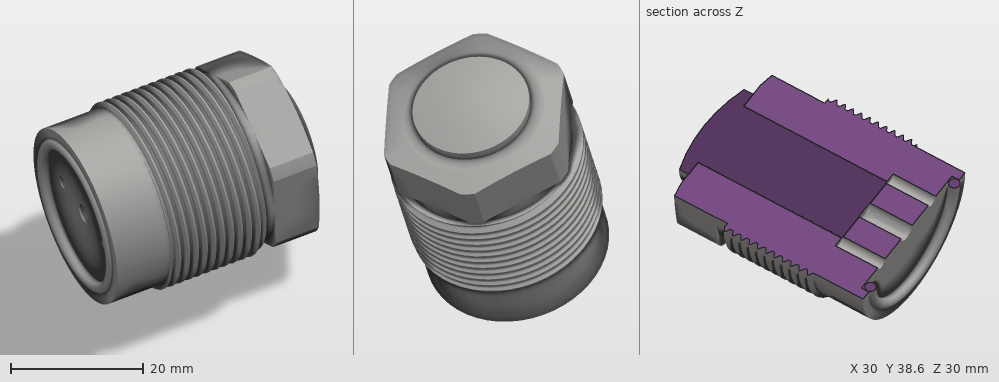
import cadquery as cq
import math


thread_start = 9.0
thread_end = 25.0
hex_start = 27.0
hex_end = 35.0
neck_radius = 13.5

thread_radius = 15.0
pitch = 1.5
triangle_height = pitch * math.sqrt(3) / 2
thread_depth = 5 / 8 * triangle_height
body_radius = thread_radius - thread_depth
crest_width = pitch / 8
root_embed = 0.1
crest_offset = 1.24

hex_width = 27.0
hex_corner_radius = 15.0
hex_turn = 3.5
hex_cone_angle = 10.0
hex_face_radius = 11.0

ring_radius = 11.6
ring_section = 1.8
ring_protrusion = 0.57
ring_center_depth = ring_section / 2 - ring_protrusion
recess_radius = ring_radius + ring_section / 2
recess_depth = 1.33

shank_radius = 6.25
shank_start = thread_start
head_radius = 9.0
dome_top = 38.0
dome_radius = 30.0

center_hole_diameter = 3.0
side_hole_diameter = 2.0
side_hole_offset = 7.0


def rod(radius, start, end):
    """Cylinder on the Y axis between two stations."""
    return cq.Workplane("XZ", origin=(0, start, 0)).circle(radius).extrude(start - end)


def make_thread_ridge():
    """Helical ridge, cut flat at both ends of the threaded length."""
    first_crest = thread_end - crest_offset
    turns_below = math.ceil((first_crest - thread_start) / pitch) + 1
    helix_start = first_crest - turns_below * pitch
    helix_height = (turns_below + 2) * pitch

    inner_radius = body_radius - root_embed
    half_crest = crest_width / 2
    half_base = half_crest + (thread_radius - inner_radius) * math.tan(math.radians(30))
    helix = cq.Wire.makeHelix(pitch, helix_height, body_radius)
    ridge = (
        cq.Workplane("XZ")
        .polyline([
            (inner_radius, -half_base),
            (thread_radius, -half_crest),
            (thread_radius, half_crest),
            (inner_radius, half_base),
        ])
        .close()
        .sweep(cq.Workplane(helix), isFrenet=True)
        .translate((0, 0, helix_start))
        .rotate((0, 0, 0), (1, 0, 0), -90)
    )
    return ridge.intersect(rod(thread_radius + pitch, thread_start, thread_end))


def make_hexagon():
    """Turned hexagon, its corners rounded and its outer end coned."""
    across_corners = hex_width / math.cos(math.radians(30))
    prism = (
        cq.Workplane("XZ", origin=(0, hex_start, 0))
        .transformed(rotate=(0, 0, hex_turn + 30))
        .polygon(6, across_corners)
        .extrude(hex_start - hex_end)
    )
    cone_height = (hex_corner_radius - hex_face_radius) * math.tan(math.radians(hex_cone_angle))
    blank = (
        cq.Workplane("XY")
        .polyline([
            (0, hex_start),
            (hex_corner_radius, hex_start),
            (hex_corner_radius, hex_end - cone_height),
            (hex_face_radius, hex_end),
            (0, hex_end),
        ])
        .close()
        .revolve(360, (0, 0), (0, 1))
    )
    return prism.intersect(blank)


def make_housing():
    housing = rod(body_radius, 0, thread_end).union(make_thread_ridge())
    housing = housing.union(rod(neck_radius, thread_end, hex_start)).union(make_hexagon())

    recess = rod(recess_radius, 0, recess_depth)
    center_hole = rod(center_hole_diameter / 2, 0, shank_start)
    plunger_bore = rod(shank_radius, shank_start, hex_end)
    housing = housing.cut(recess).cut(center_hole).cut(plunger_bore)

    for side in (-1, 1):
        side_hole = rod(side_hole_diameter / 2, 0, shank_start)
        housing = housing.cut(side_hole.translate((side * side_hole_offset, 0, 0)))
    return housing


def make_o_ring():
    return (
        cq.Workplane("XY")
        .center(ring_radius, ring_center_depth)
        .circle(ring_section / 2)
        .revolve(360, (-ring_radius, 0), (-ring_radius, 1))
    )


def make_plunger():
    dome_center = dome_top - dome_radius
    dome_edge = dome_center + math.sqrt(dome_radius**2 - head_radius**2)
    half_radius = head_radius / 2
    dome_middle = dome_center + math.sqrt(dome_radius**2 - half_radius**2)
    return (
        cq.Workplane("XY")
        .moveTo(0, shank_start)
        .lineTo(shank_radius, shank_start)
        .lineTo(shank_radius, hex_end)
        .lineTo(head_radius, hex_end)
        .lineTo(head_radius, dome_edge)
        .threePointArc((half_radius, dome_middle), (0, dome_top))
        .close()
        .revolve(360, (0, 0), (0, 1))
    )


housing = make_housing()
o_ring = make_o_ring()
plunger = make_plunger()

result = cq.Compound.makeCompound([housing.val(), o_ring.val(), plunger.val()])